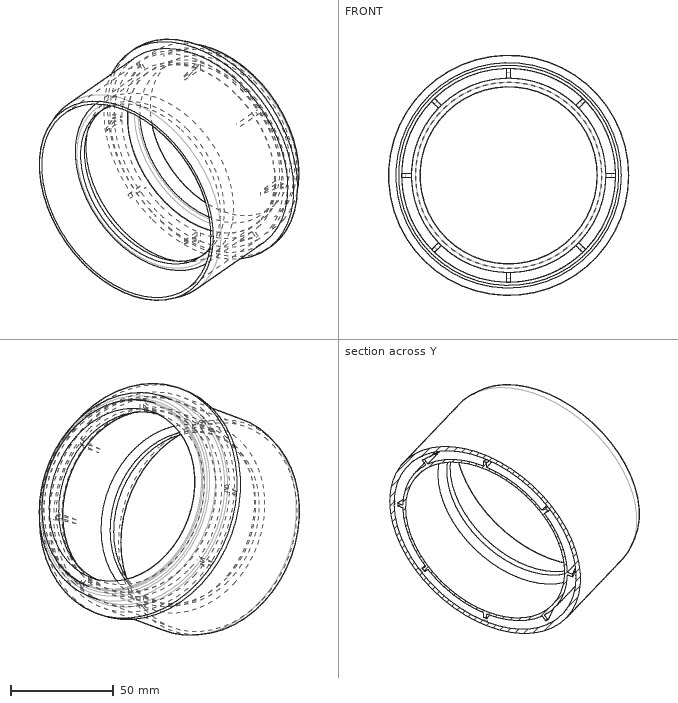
import cadquery as cq
import math

length = 75.0

flange_diameter = 117.5
flange_front = 57.9
flange_back = 61.0
shell_diameter = 110.2
shell_bore_diameter = 104.6
rim_chamfer_depth = 1.3
rim_chamfer_length = 4.6

spigot_diameter = 104.3
spigot_end = 72.0
spigot_edge_round = 2.0
end_ring_diameter = 95.5
end_ring_edge_round = 0.5
root_fillet = 1.0

opening_diameter = 86.5
sleeve_diameter = 95.0
sleeve_front = 19.4
sleeve_edge_round = 2.0
sleeve_lip_length = 3.0
sleeve_bore_diameter = 91.3
sleeve_bore_start = 26.8
groove_floor = 57.9

seat_diameter = 91.0
seat_start = 59.9
seat_end = 66.5
seat_fillet = 1.3
seat_cone_rise = 0.2

rib_count = 8
rib_width = 2.0
rib_slope = 15.0
rib_valley_round = 1.0
rib_valley_height = 1.0
rib_overlap = 0.6


def body():
    """Revolve the full radial section; points are (radius, y)."""
    shell_r = shell_diameter / 2
    shell_bore_r = shell_bore_diameter / 2
    flange_r = flange_diameter / 2
    spigot_r = spigot_diameter / 2
    ring_r = end_ring_diameter / 2
    opening_r = opening_diameter / 2
    sleeve_r = sleeve_diameter / 2
    sleeve_bore_r = sleeve_bore_diameter / 2
    seat_r = seat_diameter / 2
    section = (
        cq.Workplane("XY")
        .moveTo(shell_bore_r, 0)
        .lineTo(shell_r - rim_chamfer_depth, 0)
        .lineTo(shell_r, rim_chamfer_length)
        .lineTo(shell_r, flange_front)
        .lineTo(flange_r, flange_front)
        .lineTo(flange_r, flange_back)
        .lineTo(spigot_r + root_fillet, flange_back)
        .radiusArc((spigot_r, flange_back + root_fillet), root_fillet)
        .lineTo(spigot_r, spigot_end - spigot_edge_round)
        .radiusArc((spigot_r - spigot_edge_round, spigot_end), -spigot_edge_round)
        .lineTo(ring_r + root_fillet, spigot_end)
        .radiusArc((ring_r, spigot_end + root_fillet), root_fillet)
        .lineTo(ring_r, length - end_ring_edge_round)
        .radiusArc((ring_r - end_ring_edge_round, length), -end_ring_edge_round)
        .lineTo(opening_r, length)
        .lineTo(opening_r, seat_end + seat_cone_rise)
        .lineTo(seat_r - seat_fillet, seat_end)
        .radiusArc((seat_r, seat_end - seat_fillet), seat_fillet)
        .lineTo(seat_r, seat_start)
        .lineTo(sleeve_bore_r, seat_start)
        .lineTo(sleeve_bore_r, sleeve_bore_start)
        .lineTo(opening_r, sleeve_front + sleeve_lip_length)
        .lineTo(opening_r, sleeve_front)
        .lineTo(sleeve_r - sleeve_edge_round, sleeve_front)
        .radiusArc((sleeve_r, sleeve_front + sleeve_edge_round), -sleeve_edge_round)
        .lineTo(sleeve_r, groove_floor)
        .lineTo(shell_bore_r, groove_floor)
        .close()
    )
    return section.revolve(360, (0, 0), (0, 1))


def rib():
    """One rib along +X, sloping from the sleeve down to a round valley against the shell wall."""
    slope = math.radians(rib_slope)
    sleeve_r = sleeve_diameter / 2
    shell_bore_r = shell_bore_diameter / 2
    inner_r = sleeve_r - rib_overlap
    outer_r = shell_bore_r + rib_overlap
    base = groove_floor + rib_overlap
    valley_r = shell_bore_r - rib_valley_round
    valley_bottom = groove_floor - rib_valley_height
    valley_center = valley_bottom - rib_valley_round
    slope_end_r = valley_r - rib_valley_round * math.cos(slope)
    slope_end = valley_center + rib_valley_round * math.sin(slope)
    top = slope_end - (slope_end_r - sleeve_r) / math.tan(slope)
    profile = (
        cq.Workplane("XY")
        .moveTo(inner_r, top)
        .lineTo(sleeve_r, top)
        .lineTo(slope_end_r, slope_end)
        .threePointArc((valley_r, valley_bottom), (shell_bore_r, valley_center))
        .lineTo(outer_r, valley_center)
        .lineTo(outer_r, base)
        .lineTo(inner_r, base)
        .close()
    )
    return profile.extrude(rib_width / 2, both=True)


result = body()
for i in range(rib_count):
    result = result.union(rib().rotate((0, 0, 0), (0, 1, 0), i * 360 / rib_count))